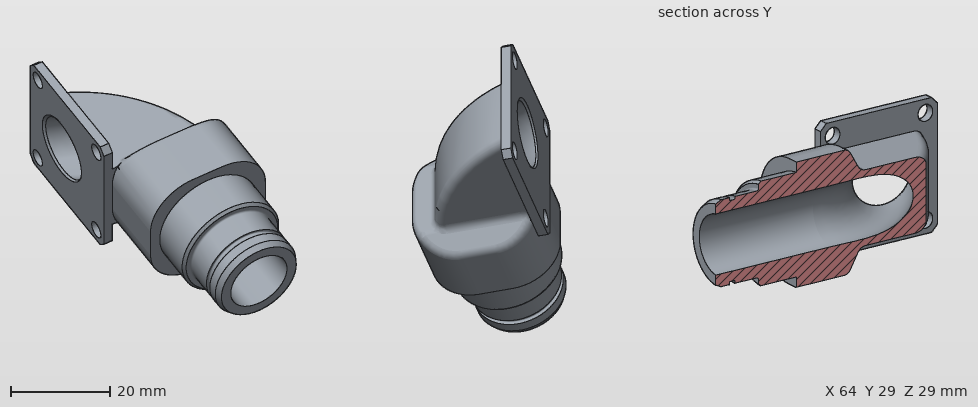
import cadquery as cq
import math


FLANGE_SIZE = 29.0
FLANGE_THICKNESS = 2.0
FLANGE_CORNER_CHAMFER = 1.45
SCREW_HOLE_DIAMETER = 3.6
SCREW_HOLE_SPACING = 23.0

BODY_SIZE = 27.0
BODY_CORNER_RADIUS = 10.0
BODY_START = 28.0
BODY_END = 44.0
BODY_REAR_FLAT_HALF_HEIGHT = 8.2
BODY_SLOPE_LENGTH = 3.05
BODY_CREASE_FILLET = 2.5
BODY_EDGE_FILLET = 2.0
AXIS_Y = FLANGE_THICKNESS + BODY_SIZE / 2

NECK_WIDTH = 16.4
NECK_EDGE_FILLET = 2.0
NECK_ROOT_FILLET = 2.0
ARCH_CENTER_X = 36.4
ARCH_CENTER_Y = -10.1
ARCH_RADIUS = 34.85

SHOULDER_DIAMETER = 22.7
SHOULDER_END = 53.4
SHOULDER_CHAMFER = 0.6
SPIGOT_DIAMETER = 18.9
SPIGOT_END = 64.0
SPIGOT_ROOT_FILLET = 0.4
SPIGOT_TIP_DIAMETER = 17.6
SPIGOT_TIP_CHAMFER_LENGTH = 1.35
GROOVE_DIAMETER = 17.65
GROOVE_START = 59.2
GROOVE_WIDTH = 1.3
GROOVE_CORNER_FILLET = 0.2

BORE_RADIUS = 6.6
BORE_BEND_X = 35.75
BORE_BEND_Y = -10.0
BORE_START_ANGLE = 5.0
BORE_MOUTH_CHAMFER = 0.45

TOLERANCE = 0.01


def make_flange():
    """Square plate with chamfered corners and four screw holes."""
    half_size = FLANGE_SIZE / 2
    plate = cq.Workplane("XY").box(FLANGE_SIZE, FLANGE_THICKNESS, FLANGE_SIZE)
    plate = plate.edges("|Y").chamfer(FLANGE_CORNER_CHAMFER)
    plate = (
        plate.faces("<Y")
        .workplane(centerOption="CenterOfBoundBox")
        .rect(SCREW_HOLE_SPACING, SCREW_HOLE_SPACING, forConstruction=True)
        .vertices()
        .hole(SCREW_HOLE_DIAMETER)
    )
    return plate.translate((half_size, FLANGE_THICKNESS / 2, 0))


def arch_x(y):
    """X of the neck's arched back at height y above the flange face."""
    return ARCH_CENTER_X - math.sqrt(ARCH_RADIUS**2 - (y - ARCH_CENTER_Y) ** 2)


def arch_y(x):
    """Y of the neck's arched back at position x."""
    return ARCH_CENTER_Y + math.sqrt(ARCH_RADIUS**2 - (x - ARCH_CENTER_X) ** 2)


def make_neck():
    """Arched block joining the flange to the body, rounded along the arch."""
    end_x = FLANGE_SIZE
    foot_x = arch_x(FLANGE_THICKNESS)
    middle_x = (foot_x + end_x) / 2
    block = (
        cq.Workplane("XY")
        .moveTo(foot_x, FLANGE_THICKNESS)
        .threePointArc((middle_x, arch_y(middle_x)), (end_x, arch_y(end_x)))
        .lineTo(end_x, FLANGE_THICKNESS)
        .close()
        .extrude(NECK_WIDTH / 2, both=True)
    )
    return block.edges("%CIRCLE").fillet(NECK_EDGE_FILLET)


def rounded_square_prism():
    """Full-length prism of the body's cross-section."""
    return (
        cq.Workplane("YZ", origin=(BODY_START, AXIS_Y, 0))
        .rect(BODY_SIZE, BODY_SIZE)
        .extrude(BODY_END - BODY_START)
        .edges("|X")
        .fillet(BODY_CORNER_RADIUS)
    )


def make_body():
    """Rounded square prism whose rear end slopes away above and below."""
    half_size = BODY_SIZE / 2
    slope_end = BODY_START + BODY_SLOPE_LENGTH
    side_outline = (
        cq.Workplane("XZ", origin=(0, AXIS_Y + half_size, 0))
        .moveTo(BODY_START, -BODY_REAR_FLAT_HALF_HEIGHT)
        .lineTo(BODY_START, BODY_REAR_FLAT_HALF_HEIGHT)
        .lineTo(slope_end, half_size)
        .lineTo(BODY_END, half_size)
        .lineTo(BODY_END, -half_size)
        .lineTo(slope_end, -half_size)
        .close()
        .extrude(BODY_SIZE)
    )
    body = rounded_square_prism().intersect(side_outline)
    body = body.newObject(rear_crease_edges(body)).fillet(BODY_CREASE_FILLET)
    return body.newObject(rear_rim_edges(body)).fillet(BODY_EDGE_FILLET)


def make_body_heel():
    """Unrounded lower rear part of the body, in line with the neck above the flange."""
    neck_band = cq.Workplane("XY").box(
        BODY_END - BODY_START,
        AXIS_Y - FLANGE_THICKNESS,
        NECK_WIDTH,
        centered=(False, False, True),
    )
    neck_band = neck_band.translate((BODY_START, FLANGE_THICKNESS, 0))
    return rounded_square_prism().intersect(neck_band)


def rear_crease_edges(body):
    """Two straight edges where the rear flat turns into the slopes."""
    creases = []
    for edge in body.edges("|Y").vals():
        center = edge.Center()
        if abs(abs(center.z) - BODY_REAR_FLAT_HALF_HEIGHT) < TOLERANCE:
            creases.append(edge)
    return creases


def rear_rim_edges(body):
    """Edges around the rear end, leaving out the straight borders of the rounded creases."""
    side_flat = BODY_SIZE - 2 * BODY_CORNER_RADIUS
    rim = []
    for edge in body.edges("not |X").vals():
        at_rear = edge.Center().x < BODY_START + BODY_SLOPE_LENGTH + TOLERANCE
        crosses_rear = edge.geomType() == "LINE" and edge.BoundingBox().ylen > side_flat + TOLERANCE
        if at_rear and not crosses_rear:
            rim.append(edge)
    return rim


def neck_root_edges(shell):
    """Edges where the neck's sides and back run into the body's rear end."""
    neck_bounds = cq.selectors.BoxSelector(
        (BODY_START - TOLERANCE, FLANGE_THICKNESS + TOLERANCE, -NECK_WIDTH / 2 - TOLERANCE),
        (FLANGE_SIZE - TOLERANCE, arch_y(FLANGE_SIZE), NECK_WIDTH / 2 + TOLERANCE),
        boundingbox=True,
    )
    return shell.edges(neck_bounds).vals()


def make_spigot():
    """Shoulder, seal groove and chamfered tip turned about the body axis."""
    shoulder_radius = SHOULDER_DIAMETER / 2
    spigot_radius = SPIGOT_DIAMETER / 2
    groove_radius = GROOVE_DIAMETER / 2
    groove_end = GROOVE_START + GROOVE_WIDTH
    root = SPIGOT_ROOT_FILLET
    corner = GROOVE_CORNER_FILLET
    profile = (
        cq.Workplane("XY", origin=(0, AXIS_Y, 0))
        .moveTo(BODY_END, 0)
        .lineTo(BODY_END, shoulder_radius)
        .lineTo(SHOULDER_END - SHOULDER_CHAMFER, shoulder_radius)
        .lineTo(SHOULDER_END, shoulder_radius - SHOULDER_CHAMFER)
        .lineTo(SHOULDER_END, spigot_radius + root)
        .radiusArc((SHOULDER_END + root, spigot_radius), -root)
        .lineTo(GROOVE_START, spigot_radius)
        .lineTo(GROOVE_START, groove_radius + corner)
        .radiusArc((GROOVE_START + corner, groove_radius), -corner)
        .lineTo(groove_end - corner, groove_radius)
        .radiusArc((groove_end, groove_radius + corner), -corner)
        .lineTo(groove_end, spigot_radius)
        .lineTo(SPIGOT_END - SPIGOT_TIP_CHAMFER_LENGTH, spigot_radius)
        .lineTo(SPIGOT_END, SPIGOT_TIP_DIAMETER / 2)
        .lineTo(SPIGOT_END, 0)
        .close()
    )
    return profile.revolve(360, (0, 0, 0), (1, 0, 0))


def make_bore():
    """Round passage: an arc from the flange face that turns straight along the spigot axis."""
    bend_radius = AXIS_Y - BORE_BEND_Y
    start_angle = math.radians(BORE_START_ANGLE)
    middle_angle = (start_angle + math.pi / 2) / 2

    def bend_point(angle):
        return (
            BORE_BEND_X - bend_radius * math.cos(angle),
            BORE_BEND_Y + bend_radius * math.sin(angle),
        )

    start_x, start_y = bend_point(start_angle)
    path = (
        cq.Workplane("XY")
        .moveTo(start_x, start_y)
        .threePointArc(bend_point(middle_angle), (BORE_BEND_X, AXIS_Y))
        .lineTo(SPIGOT_END, AXIS_Y)
    )
    start_plane = cq.Plane(
        origin=(start_x, start_y, 0),
        xDir=(0, 0, 1),
        normal=(math.sin(start_angle), math.cos(start_angle), 0),
    )
    return cq.Workplane(start_plane).circle(BORE_RADIUS).sweep(path)


def bore_mouth_edges(part):
    """Rim of the bore on the flange's outer face."""
    mouth = []
    for edge in part.faces("<Y").edges().vals():
        if edge.geomType() not in ("LINE", "CIRCLE"):
            mouth.append(edge)
    return mouth


shell = make_flange().union(make_neck()).union(make_body())
shell = shell.newObject(neck_root_edges(shell)).fillet(NECK_ROOT_FILLET)
part = shell.union(make_body_heel()).union(make_spigot()).cut(make_bore())
result = part.newObject(bore_mouth_edges(part)).chamfer(BORE_MOUTH_CHAMFER)